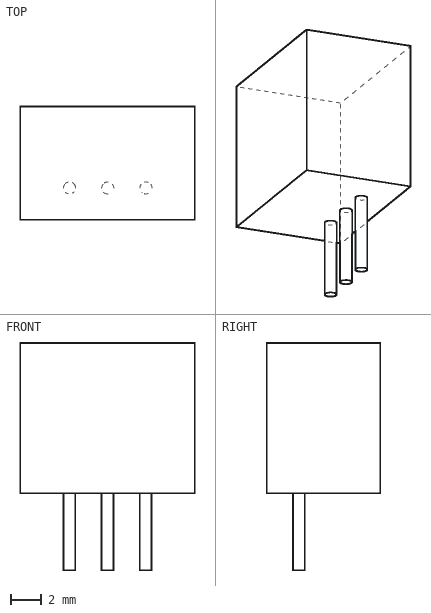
import cadquery as cq

width = 11.6
depth = 7.55
total_height = 15.1
housing_height = 10.0

pin_diameter = 0.8
pin_pitch = 2.54
pin_count = 3
pin_front_inset = 2.15
pin_length = total_height - housing_height
pin_y = pin_front_inset - depth / 2


def make_housing():
    """Plain block standing on Z = 0, centred on the Z axis."""
    return cq.Workplane("XY").box(width, depth, housing_height, centered=(True, True, False))


def make_pin(x):
    """Round pin hanging from the underside of the housing at the given X."""
    return cq.Workplane("XY").center(x, pin_y).circle(pin_diameter / 2).extrude(-pin_length)


housing = make_housing()
pins = []
for index in range(pin_count):
    pin_x = (index - (pin_count - 1) / 2) * pin_pitch
    pins.append(make_pin(pin_x).val())

result = cq.Compound.makeCompound([housing.val(), *pins])